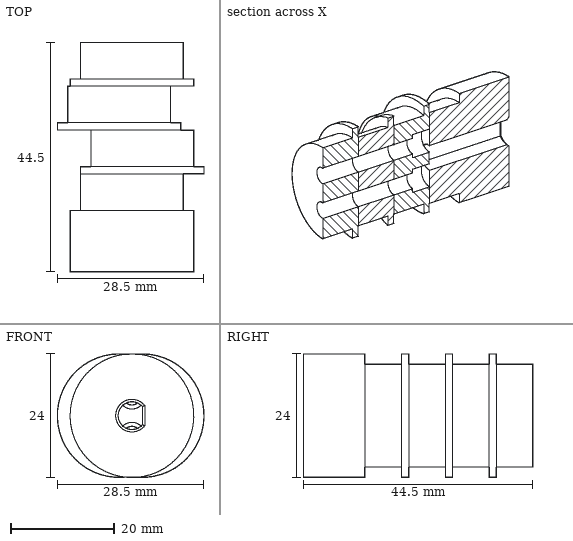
import cadquery as cq
import math

TOTAL_LENGTH = 44.5
FLANGE_RADIUS = 24.0 / 2
LOBE_RADIUS = 20.0 / 2
LOBE_LENGTH = 7.08
FLANGE_THICKNESS = 1.42
CAM_LENGTH = FLANGE_THICKNESS + LOBE_LENGTH
CAM_SHIFTS = [2.0, -2.5, 0.0]
DRIVE_LENGTH = TOTAL_LENGTH - len(CAM_SHIFTS) * CAM_LENGTH
DRIVE_FLANGE_THICKNESS = DRIVE_LENGTH - LOBE_LENGTH

BORE_RADIUS = 2.65
BORE_FLAT = 2.0
BORE_CHAMFER = 0.5

SCREW_OFFSET = 3.8
SCREW_RADIUS = 1.7
HEAD_RADIUS = 2.5
HEAD_DEPTH = 4.0


def cylinder(x, z, radius, start, length):
    """Cylinder along +Y, centred at (x, z)."""
    return cq.Workplane(cq.Solid.makeCylinder(radius, length, cq.Vector(x, start, z), cq.Vector(0, 1, 0)))


def segment_blank(x, start, flange_thickness):
    flange = cylinder(x, 0, FLANGE_RADIUS, start, flange_thickness)
    return flange.union(cylinder(x, 0, LOBE_RADIUS, start + flange_thickness, LOBE_LENGTH))


def d_profile(workplane, radius, flat):
    """Circle cut off by a flat on its +X side."""
    half_flat = math.sqrt(radius**2 - flat**2)
    return workplane.moveTo(flat, -half_flat).threePointArc((-radius, 0), (flat, half_flat)).close()


def d_bore():
    """Through bore with a chamfered mouth."""
    front = cq.Workplane("XZ")
    bore = d_profile(front, BORE_RADIUS, BORE_FLAT).extrude(-DRIVE_LENGTH)
    mouth = d_profile(front, BORE_RADIUS + BORE_CHAMFER, BORE_FLAT + BORE_CHAMFER)
    mouth = d_profile(mouth.workplane(offset=-BORE_CHAMFER), BORE_RADIUS, BORE_FLAT).loft(ruled=True)
    return bore.union(mouth)


def make_drive():
    return segment_blank(0, 0, DRIVE_FLANGE_THICKNESS).cut(d_bore())


def make_cam(x, start, has_head_recess):
    cam = segment_blank(x, start, FLANGE_THICKNESS)
    for z in (-SCREW_OFFSET, SCREW_OFFSET):
        cam = cam.cut(cylinder(0, z, SCREW_RADIUS, start, CAM_LENGTH))
        if has_head_recess:
            cam = cam.cut(cylinder(0, z, HEAD_RADIUS, start, HEAD_DEPTH))
    return cam


drive = make_drive()

cams = []
for index, shift in enumerate(CAM_SHIFTS):
    cam_start = DRIVE_LENGTH + index * CAM_LENGTH
    cams.append(make_cam(shift, cam_start, has_head_recess=index == 0).val())

result = cq.Compound.makeCompound([drive.val(), *cams])